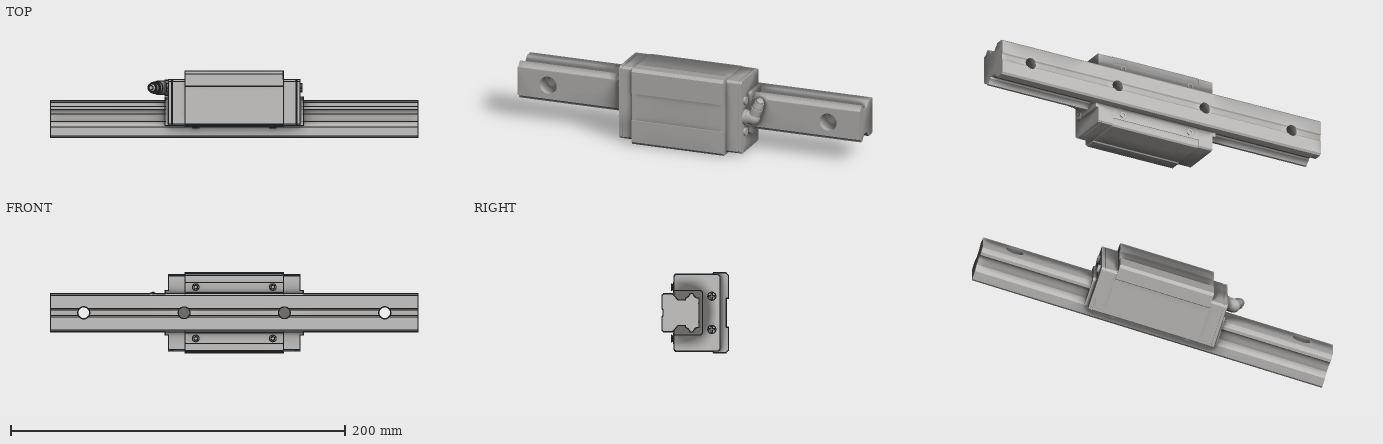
import cadquery as cq
import math


RAIL_LENGTH = 220.0
RAIL_HEIGHT = 22.2
RAIL_HALF_WIDTH = 11.5
RAIL_BASE_CHAMFER = 1.0
RAIL_FOOT_TOP = 6.4
RAIL_WAIST_HALF = 7.7
RAIL_WAIST_BOTTOM = 9.7
RAIL_WAIST_TOP = 14.3
RAIL_STEP_HALF = 8.8
RAIL_HEAD_BOTTOM = 17.0
RAIL_HEAD_TOP = 18.7
RAIL_HEAD_FLANK_TOP = 21.1
BALL_GROOVE_SAGITTA = 0.5
BASE_GROOVE_HALF = 1.8
BASE_GROOVE_DEPTH = 0.7
RAIL_HOLE_COUNT = 4
RAIL_HOLE_PITCH = 60.0
RAIL_HOLE_DIAMETER = 7.0
RAIL_BORE_DIAMETER = 11.0
RAIL_BORE_DEPTH = 9.0

BLOCK_LENGTH = 59.0
BLOCK_HALF_WIDTH = 24.0
BLOCK_LOWER_HALF = 23.3
BLOCK_TOP = 40.0
BLOCK_BOTTOM = 7.5
BLOCK_STEP_HEIGHT = 31.0
BLOCK_STEP_RISE = 0.5
BLOCK_CHAMFER = 1.8
BLOCK_BOTTOM_CHAMFER = 0.9
TOP_GROOVE_HALF = 8.5
TOP_GROOVE_DEPTH = 1.3

CAP_HALF_WIDTH = 22.9
CAP_TOP = 35.0
CAP_CHAMFER = 1.3
CAP_BOTTOM_CHAMFER = 0.9
CAP_OUTER_X = 39.4
CAP_GROOVE_X = 37.0
CAP_GROOVE_WIDTH = 0.7
CAP_GROOVE_DEPTH = 0.5
CAP_BOTTOM = 7.3
SEAL_OUTER_X = 41.4
SEAL_HALF_WIDTH = 13.5
SEAL_TOP = 24.5
SEAL_CHAMFER = 1.3

STRIP_OUTER = 18.3
STRIP_INNER = 12.0
STRIP_BOTTOM = 7.0
STRIP_SCREW_X = 23.0
STRIP_SCREW_Z = 15.5
STRIP_SCREW_HEIGHT = 1.3
STRIP_SCREW_RADIUS = 2.0
STRIP_SCREW_NECK = 1.3
STRIP_SOCKET_RADIUS = 1.0
STRIP_SOCKET_DEPTH = 0.7

PORT_HEIGHT = 30.0
END_SCREW_Z = 10.0
END_SCREW_RADIUS = 2.5
END_SCREW_HEIGHT = 1.3
CROSS_LENGTH = 3.5
CROSS_WIDTH = 0.9
CROSS_DEPTH = 0.7

NIPPLE_Z = -0.5
FLANGE_RADIUS = 4.6
FLANGE_THICKNESS = 2.0
JOINT_RADIUS = 4.2
JOINT_X = -44.9
STEM_TILT = 22.0
STEM_RADIUS = 3.5
STEM_TOP = 6.5
NECK_RADIUS = 3.0
NECK_TOP = 8.1
HEAD_RADIUS = 3.3
HEAD_TOP = 10.8
HEAD_TOP_RADIUS = 2.9
SHOULDER_RADIUS = 2.5
SHOULDER_TOP = 12.0
TIP_RADIUS = 1.3
TIP_TOP = 13.2


def extrude_along_x(profile, x_start, x_end):
    """Extrude a closed (Y, Z) outline between two X positions."""
    return cq.Workplane("YZ", origin=(x_start, 0, 0)).polyline(profile).close().extrude(x_end - x_start)


def mirrored(half_outline):
    """Close a +Z half outline with its mirror image on the -Z side."""
    return half_outline + [(y, -z) for y, z in reversed(half_outline)]


def ball_groove_middle(y_wide, y_narrow):
    """Middle of a concave arc from the rail's widest band to the step half width."""
    run = y_narrow - y_wide
    drop = RAIL_HALF_WIDTH - RAIL_STEP_HALF
    flank_length = math.hypot(run, drop)
    middle_y = (y_wide + y_narrow) / 2 - BALL_GROOVE_SAGITTA * math.copysign(drop, run) / flank_length
    middle_z = (RAIL_HALF_WIDTH + RAIL_STEP_HALF) / 2 - BALL_GROOVE_SAGITTA * abs(run) / flank_length
    return middle_y, middle_z


def make_rail_bar(x_start, x_end):
    """Bar with the full rail section; it shapes the rail and the passage through the carriage."""
    half = (
        cq.Workplane("YZ", origin=(x_start, 0, 0))
        .moveTo(BASE_GROOVE_DEPTH, 0)
        .lineTo(BASE_GROOVE_DEPTH, BASE_GROOVE_HALF)
        .lineTo(0, BASE_GROOVE_HALF + BASE_GROOVE_DEPTH)
        .lineTo(0, RAIL_HALF_WIDTH - RAIL_BASE_CHAMFER)
        .lineTo(RAIL_BASE_CHAMFER, RAIL_HALF_WIDTH)
        .lineTo(RAIL_FOOT_TOP, RAIL_HALF_WIDTH)
        .lineTo(RAIL_WAIST_BOTTOM, RAIL_WAIST_HALF)
        .lineTo(RAIL_WAIST_TOP, RAIL_WAIST_HALF)
        .lineTo(RAIL_WAIST_TOP, RAIL_STEP_HALF)
        .threePointArc(
            ball_groove_middle(RAIL_HEAD_BOTTOM, RAIL_WAIST_TOP),
            (RAIL_HEAD_BOTTOM, RAIL_HALF_WIDTH))
        .lineTo(RAIL_HEAD_TOP, RAIL_HALF_WIDTH)
        .threePointArc(
            ball_groove_middle(RAIL_HEAD_TOP, RAIL_HEAD_FLANK_TOP),
            (RAIL_HEAD_FLANK_TOP, RAIL_STEP_HALF))
        .lineTo(RAIL_HEIGHT, RAIL_STEP_HALF)
        .lineTo(RAIL_HEIGHT, 0)
        .close().extrude(x_end - x_start)
    )
    return half.union(half.mirror("XY"), clean=True)


def make_rail():
    rail = make_rail_bar(-RAIL_LENGTH / 2, RAIL_LENGTH / 2)
    first_hole = -RAIL_HOLE_PITCH * (RAIL_HOLE_COUNT - 1) / 2
    down = cq.Vector(0, -1, 0)
    for i in range(RAIL_HOLE_COUNT):
        center = cq.Vector(first_hole + i * RAIL_HOLE_PITCH, RAIL_HEIGHT, 0)
        rail = rail.cut(cq.Solid.makeCylinder(RAIL_HOLE_DIAMETER / 2, RAIL_HEIGHT, center, down))
        rail = rail.cut(cq.Solid.makeCylinder(RAIL_BORE_DIAMETER / 2, RAIL_BORE_DEPTH, center, down))
    return rail


def make_block():
    """Steel block with a stepped flank, a shallow top groove and raised seal strips below."""
    outline = mirrored([
        (BLOCK_TOP - TOP_GROOVE_DEPTH, TOP_GROOVE_HALF),
        (BLOCK_TOP, TOP_GROOVE_HALF),
        (BLOCK_TOP, BLOCK_HALF_WIDTH - BLOCK_CHAMFER),
        (BLOCK_TOP - BLOCK_CHAMFER, BLOCK_HALF_WIDTH),
        (BLOCK_STEP_HEIGHT, BLOCK_HALF_WIDTH),
        (BLOCK_STEP_HEIGHT - BLOCK_STEP_RISE, BLOCK_LOWER_HALF),
        (BLOCK_BOTTOM + BLOCK_BOTTOM_CHAMFER, BLOCK_LOWER_HALF),
        (BLOCK_BOTTOM, BLOCK_LOWER_HALF - BLOCK_BOTTOM_CHAMFER),
    ])
    block = extrude_along_x(outline, -BLOCK_LENGTH / 2, BLOCK_LENGTH / 2)
    strip_width = STRIP_OUTER - STRIP_INNER
    strip_height = BLOCK_BOTTOM - STRIP_BOTTOM
    for side in (-1, 1):
        strip = cq.Workplane("XY").box(BLOCK_LENGTH, strip_height, strip_width).translate(
            (0, (BLOCK_BOTTOM + STRIP_BOTTOM) / 2, side * (STRIP_OUTER + STRIP_INNER) / 2))
        block = block.union(strip)
    return block


def make_end(side):
    """End cap, end plate and wiper seal on one end of the carriage."""
    def cap_section(x_start, x_end, inset=0.0):
        section = mirrored([
            (CAP_TOP - inset, CAP_HALF_WIDTH - CAP_CHAMFER - inset),
            (CAP_TOP - CAP_CHAMFER - inset, CAP_HALF_WIDTH - inset),
            (CAP_BOTTOM + CAP_BOTTOM_CHAMFER - inset, CAP_HALF_WIDTH - inset),
            (CAP_BOTTOM, CAP_HALF_WIDTH - CAP_BOTTOM_CHAMFER),
        ])
        return extrude_along_x(section, side * x_start, side * x_end)

    groove_end = CAP_GROOVE_X + CAP_GROOVE_WIDTH
    seal_outline = mirrored([
        (SEAL_TOP, SEAL_HALF_WIDTH - SEAL_CHAMFER),
        (SEAL_TOP - SEAL_CHAMFER, SEAL_HALF_WIDTH),
        (CAP_BOTTOM, SEAL_HALF_WIDTH),
    ])
    end = cap_section(BLOCK_LENGTH / 2, CAP_GROOVE_X)
    end = end.union(cap_section(CAP_GROOVE_X, groove_end, CAP_GROOVE_DEPTH))
    end = end.union(cap_section(groove_end, CAP_OUTER_X))
    return end.union(extrude_along_x(seal_outline, side * CAP_OUTER_X, side * SEAL_OUTER_X))


def make_end_screw(side, z):
    """Round screw head with a cross recess on the outer face of an end plate."""
    head = cq.Workplane(cq.Solid.makeCylinder(
        END_SCREW_RADIUS, END_SCREW_HEIGHT,
        cq.Vector(side * CAP_OUTER_X, PORT_HEIGHT, z), cq.Vector(side, 0, 0)))
    recess_x = side * (CAP_OUTER_X + END_SCREW_HEIGHT - CROSS_DEPTH / 2)
    bar = cq.Workplane("XY").box(CROSS_DEPTH, CROSS_LENGTH, CROSS_WIDTH)
    cross = bar.union(bar.rotate((0, 0, 0), (1, 0, 0), 90))
    return head.cut(cross.translate((recess_x, PORT_HEIGHT, z)))


def make_strip_screw(x, z):
    """Flared screw head with a round socket under a bottom seal strip."""
    seat = cq.Vector(x, STRIP_BOTTOM, z)
    down = cq.Vector(0, -1, 0)
    head = cq.Workplane(cq.Solid.makeCone(
        STRIP_SCREW_NECK, STRIP_SCREW_RADIUS, STRIP_SCREW_HEIGHT, seat, down))
    socket_start = seat + down * (STRIP_SCREW_HEIGHT - STRIP_SOCKET_DEPTH)
    return head.cut(cq.Solid.makeCylinder(STRIP_SOCKET_RADIUS, STRIP_SOCKET_DEPTH, socket_start, down))


def make_carriage():
    carriage = make_block()
    for side in (-1, 1):
        carriage = carriage.union(make_end(side))
        for z in (-END_SCREW_Z, END_SCREW_Z):
            carriage = carriage.union(make_end_screw(side, z))
            carriage = carriage.union(make_strip_screw(side * STRIP_SCREW_X, math.copysign(STRIP_SCREW_Z, z)))
    return carriage.cut(make_rail_bar(-SEAL_OUTER_X, SEAL_OUTER_X))


def make_grease_nipple():
    """Flange and arm on the -X end plate, ball joint, and a leaning stem with a tapered head."""
    outward = cq.Vector(-1, 0, 0)
    root = cq.Vector(-CAP_OUTER_X, PORT_HEIGHT, NIPPLE_Z)
    flange = cq.Solid.makeCylinder(FLANGE_RADIUS, FLANGE_THICKNESS, root, outward)
    arm = cq.Solid.makeCylinder(JOINT_RADIUS, -CAP_OUTER_X - JOINT_X, root, outward)
    joint = cq.Workplane("XY").sphere(JOINT_RADIUS)
    stem = (
        cq.Workplane("XZ")
        .polyline([
            (0, 0), (STEM_RADIUS, 0), (STEM_RADIUS, STEM_TOP),
            (NECK_RADIUS, STEM_TOP), (NECK_RADIUS, NECK_TOP), (HEAD_RADIUS, NECK_TOP),
            (HEAD_TOP_RADIUS, HEAD_TOP), (SHOULDER_RADIUS, HEAD_TOP), (SHOULDER_RADIUS, SHOULDER_TOP),
            (TIP_RADIUS, TIP_TOP), (0, TIP_TOP),
        ])
        .close().revolve(360, (0, 0, 0), (0, 1, 0))
        .rotate((0, 0, 0), (0, 1, 0), -STEM_TILT)
    )
    body = joint.union(stem).translate((JOINT_X, PORT_HEIGHT, NIPPLE_Z))
    return body.union(cq.Workplane(arm)).union(cq.Workplane(flange))


rail = make_rail()
carriage = make_carriage()
grease_nipple = make_grease_nipple()

result = cq.Compound.makeCompound([rail.val(), carriage.val(), grease_nipple.val()])